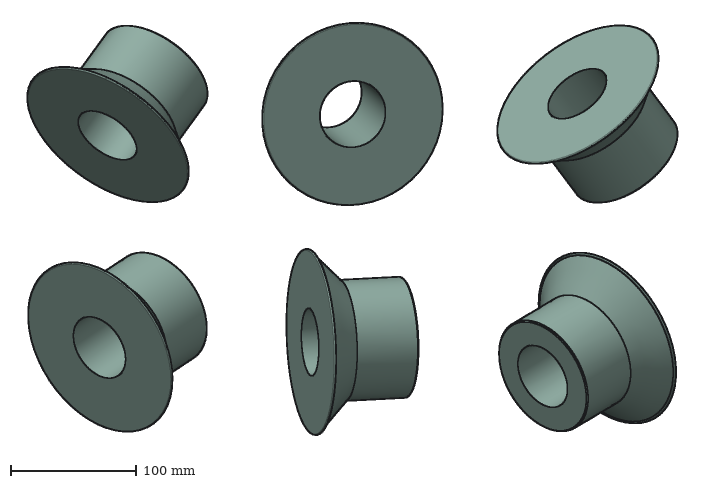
import cadquery as cq

flange_diameter = 149.0
hub_diameter = 97.0
bore_diameter = 54.0
total_length = 77.0
rim_thickness = 2.0
cone_end = 26.0
hub_chamfer = 1.0

flange_radius = flange_diameter / 2
hub_radius = hub_diameter / 2
bore_radius = bore_diameter / 2

rim_round = rim_thickness / 2
rim_flat_radius = flange_radius - rim_round

cone_base_radius = hub_radius + (cone_end - rim_thickness)


def turned_body():
    """Half section (radius, axial position) revolved about the Y axis."""
    section = (
        cq.Workplane("XY")
        .moveTo(bore_radius, 0)
        .lineTo(rim_flat_radius, 0)
        .threePointArc((flange_radius, rim_round), (rim_flat_radius, rim_thickness))
        .lineTo(cone_base_radius, rim_thickness)
        .lineTo(hub_radius, cone_end)
        .lineTo(hub_radius, total_length - hub_chamfer)
        .lineTo(hub_radius - hub_chamfer, total_length)
        .lineTo(bore_radius, total_length)
        .close()
    )
    return section.revolve(360, (0, 0, 0), (0, 1, 0))


result = turned_body()